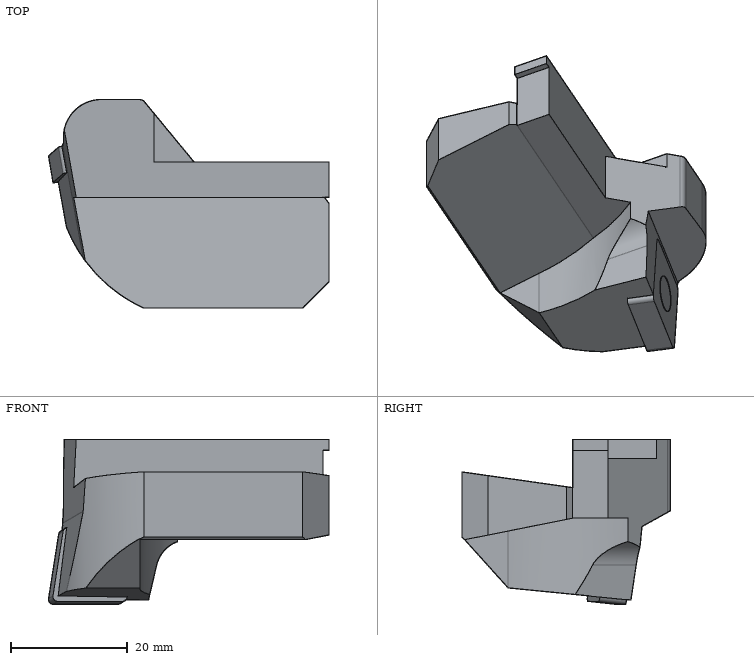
import cadquery as cq
import math

LENGTH = 48.0
WIDTH = 35.7
HEIGHT = 28.2
MARGIN = 9.6
REACH = 143.95

NOSE_TOP = (16.3, 0.0)
NOSE_MIDDLE = (6.25, 8.15)
NOSE_END = (2.7, 14.9)
HEAD_LEFT = 2.55
HEAD_RADIUS = 6.55
NOSE_BACK = 28.07
HEAD_FLAT_END = 15.5
HEAD_SLANT_START = (16.55, 35.15)
HEAD_SLANT_END = 24.9
HEAD_LEDGE_X = 18.05
BAR_BACK = 25.0
BAR_FRONT = 18.95
END_CHAMFER = 4.5
REAR_CHAMFER_X = 0.75
REAR_CHAMFER_Y = 1.05

STEP_INNER_Z = 19.95
STEP_OUTER_Z = 22.65
LIP_Z = 26.3
LIP_OVERHANG = 1.0
LEDGE_Z = 24.95

BEVEL_TOP_Z = 11.5
BEVEL_FOOT = (7.9, 2.8)
SOLE_BACK = (28.8, 0.7)
CEILING_EDGE = (0.5, 11.05)
CEILING_RISE = 0.2
GULLET_EDGE_X = 15.65
GULLET_MIDDLE = (17.15, 18.7)
GULLET_BACK = (24.0, 30.7)
HEEL_BOTTOM = (17.15, 0.75)
HEEL_TOP = (18.52, 6.7)

FLANK_BACK = (2.45, 27.85, 13.85)
FLANK_FRONT = (6.0, 8.25, 15.95)
FLANK_TOP = (4.75, BAR_FRONT, HEIGHT)
FLANK_LOW = (2.95, 14.9, 2.4)

HEAD_UNDER_INNER = (16.3, 30.7, 13.6)
HEAD_UNDER_OUTER = (16.3, WIDTH, 16.0)
HEAD_UNDER_LEFT = (2.55, 28.55, 13.8)

INSERT_TIP = (-0.15, 25.9, 0)
INSERT_ANGLE = 80.0
INSERT_EDGE = 12.9
INSERT_THICKNESS = 4.65
INSERT_NOSE_RADIUS = 0.8
INSERT_RECESS_DIAMETER = 6.15
INSERT_RECESS_DEPTH = 0.1
RAKE_SLOPE = 0.17
RAKE_LEAN = 0.11
RAKE_NORMAL = (-RAKE_SLOPE, 1, -RAKE_LEAN)
RAKE_PLANE = cq.Plane(origin=INSERT_TIP, xDir=(1, RAKE_SLOPE, 0), normal=RAKE_NORMAL)


def half_space(first, second, third):
    """Large block on the side of the plane given by the right-hand rule."""
    start = cq.Vector(*first)
    along = cq.Vector(*second) - start
    normal = along.cross(cq.Vector(*third) - start)
    plane = cq.Plane(origin=first, xDir=along.toTuple(), normal=normal.toTuple())
    return cq.Workplane(plane).rect(REACH, REACH).extrude(REACH)


def prism_along_x(points, start, end):
    return cq.Workplane("YZ", origin=(start, 0, 0)).polyline(points).close().extrude(end - start)


def block(corner, size):
    return cq.Workplane("XY").box(*size, centered=False).translate(corner)


def make_blank():
    head_center_y = WIDTH - HEAD_RADIUS
    diagonal = HEAD_RADIUS * math.sqrt(0.5)
    arc_middle = (HEAD_LEFT + HEAD_RADIUS - diagonal, head_center_y + diagonal)
    return (
        cq.Workplane("XY")
        .moveTo(*NOSE_TOP)
        .threePointArc(NOSE_MIDDLE, NOSE_END)
        .lineTo(0, NOSE_BACK)
        .lineTo(HEAD_LEFT, NOSE_BACK)
        .lineTo(HEAD_LEFT, head_center_y)
        .threePointArc(arc_middle, (HEAD_LEFT + HEAD_RADIUS, WIDTH))
        .lineTo(HEAD_FLAT_END, WIDTH)
        .tangentArcPoint(HEAD_SLANT_START, relative=False)
        .lineTo(HEAD_SLANT_END, BAR_BACK)
        .lineTo(LENGTH, BAR_BACK)
        .lineTo(LENGTH, END_CHAMFER)
        .lineTo(LENGTH - END_CHAMFER, 0)
        .close()
        .extrude(HEIGHT)
    )


def step_cutter():
    step_profile = [
        (0, STEP_OUTER_Z),
        (BAR_FRONT, STEP_INNER_Z),
        (BAR_FRONT, HEIGHT + MARGIN),
        (-MARGIN, HEIGHT + MARGIN),
        (-MARGIN, STEP_OUTER_Z),
    ]
    return prism_along_x(step_profile, -MARGIN, LENGTH + MARGIN)


def sole_cutter():
    sole_profile = [
        (-MARGIN, BEVEL_TOP_Z),
        (0, BEVEL_TOP_Z),
        CEILING_EDGE,
        BEVEL_FOOT,
        SOLE_BACK,
        (WIDTH + MARGIN, SOLE_BACK[1]),
        (WIDTH + MARGIN, -MARGIN),
        (-MARGIN, -MARGIN),
    ]
    return prism_along_x(sole_profile, -MARGIN, LENGTH + MARGIN)


def gullet_cutter():
    """Curved upright wall behind the nose, under a ceiling that rises to the bar."""
    ceiling_top = CEILING_EDGE[1] + CEILING_RISE * (BAR_FRONT - CEILING_EDGE[0])
    ceiling_profile = [
        (-MARGIN, CEILING_EDGE[1]),
        CEILING_EDGE,
        (BAR_FRONT, ceiling_top),
        (WIDTH + MARGIN, ceiling_top),
        (WIDTH + MARGIN, -MARGIN),
        (-MARGIN, -MARGIN),
    ]
    plan = (
        cq.Workplane("XY")
        .moveTo(GULLET_EDGE_X, -MARGIN)
        .lineTo(GULLET_EDGE_X, BEVEL_FOOT[0])
        .threePointArc(GULLET_MIDDLE, GULLET_BACK)
        .lineTo(LENGTH + MARGIN, GULLET_BACK[1])
        .lineTo(LENGTH + MARGIN, -MARGIN)
        .close()
        .extrude(HEIGHT)
    )
    return plan.intersect(prism_along_x(ceiling_profile, 0, LENGTH + MARGIN))


def heel_cutter():
    """Leaning heel of the nose, curving into the level underside."""
    ceiling_z = CEILING_EDGE[1]
    heel_slope = (HEEL_TOP[0] - HEEL_BOTTOM[0], HEEL_TOP[1] - HEEL_BOTTOM[1])
    drop = HEEL_BOTTOM[1] + MARGIN
    foot_x = HEEL_BOTTOM[0] - drop * heel_slope[0] / heel_slope[1]
    return (
        cq.Workplane("XZ")
        .moveTo(foot_x, -MARGIN)
        .lineTo(*HEEL_TOP)
        .tangentArcPoint((GULLET_BACK[0], ceiling_z), relative=False)
        .lineTo(LENGTH + MARGIN, ceiling_z)
        .lineTo(LENGTH + MARGIN, -MARGIN)
        .close()
        .extrude(-(WIDTH + MARGIN))
    )


def flank_cutter():
    outside_upper = half_space(FLANK_BACK, FLANK_FRONT, FLANK_TOP)
    outside_lower = half_space(FLANK_BACK, FLANK_LOW, FLANK_FRONT)
    return outside_upper.intersect(outside_lower)


def rake_cutter():
    """Space in front of the rake face, below the sloping underside of the head."""
    below_head = half_space(HEAD_UNDER_INNER, HEAD_UNDER_LEFT, HEAD_UNDER_OUTER)
    in_front = cq.Workplane(RAKE_PLANE).rect(REACH, REACH).extrude(REACH)
    return in_front.intersect(below_head)


def bar_end_cutter():
    """Relief below the lip at the end of the bar and the small corner chamfer."""
    relief = block((LENGTH - LIP_OVERHANG, BAR_FRONT, 0), (MARGIN, MARGIN, LIP_Z))
    chamfer = (
        cq.Workplane("XY")
        .moveTo(LENGTH, BAR_FRONT - REAR_CHAMFER_Y)
        .lineTo(LENGTH, BAR_FRONT)
        .lineTo(LENGTH - REAR_CHAMFER_X, BAR_FRONT)
        .close()
        .extrude(LIP_Z)
    )
    return relief.union(chamfer)


def ledge_cutter():
    return block((HEAD_LEDGE_X, BAR_BACK, LEDGE_Z), (MARGIN, MARGIN, MARGIN))


def insert_envelope():
    angle = math.radians(INSERT_ANGLE)
    lean = INSERT_EDGE * math.cos(angle)
    rise = INSERT_EDGE * math.sin(angle)
    rhombus = [(0, 0), (INSERT_EDGE, 0), (INSERT_EDGE + lean, -rise), (lean, -rise)]
    return (
        cq.Workplane(RAKE_PLANE)
        .polyline(rhombus)
        .close()
        .extrude(-INSERT_THICKNESS)
        .edges(cq.selectors.ParallelDirSelector(RAKE_PLANE.zDir))
        .fillet(INSERT_NOSE_RADIUS)
    )


def make_insert():
    angle = math.radians(INSERT_ANGLE)
    center_x = INSERT_EDGE * (1 + math.cos(angle)) / 2
    center_y = -INSERT_EDGE * math.sin(angle) / 2
    recess = (
        cq.Workplane(RAKE_PLANE)
        .center(center_x, center_y)
        .circle(INSERT_RECESS_DIAMETER / 2)
        .extrude(-INSERT_RECESS_DEPTH)
    )
    return insert_envelope().cut(recess)


def make_holder():
    holder = make_blank()
    cutters = [
        step_cutter(),
        sole_cutter(),
        gullet_cutter(),
        heel_cutter(),
        flank_cutter(),
        rake_cutter(),
        bar_end_cutter(),
        ledge_cutter(),
        insert_envelope(),
    ]
    for cutter in cutters:
        holder = holder.cut(cutter)
    return holder


holder = make_holder()
insert = make_insert()
result = cq.Compound.makeCompound([holder.val(), insert.val()])